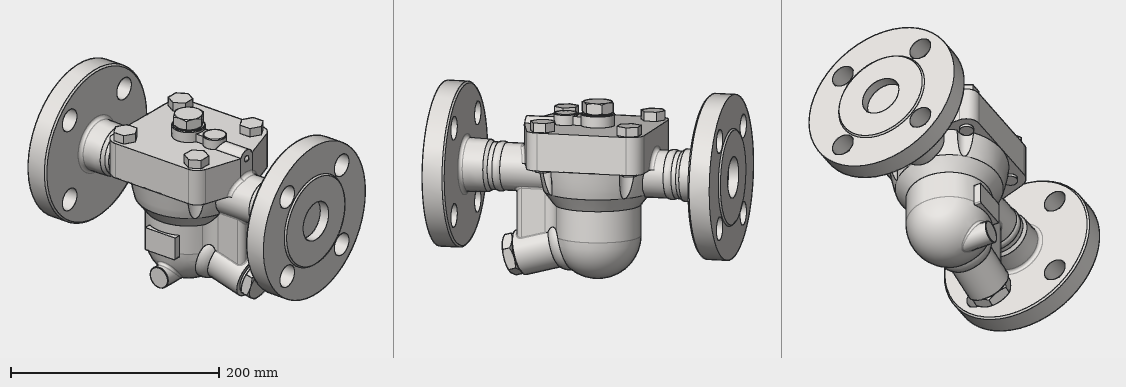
import cadquery as cq
import math

face_to_face = 290.0
flange_dia = 160.0
flange_thickness = 21.8
flange_chamfer = 1.7
raised_face_dia = 94.5
raised_face_height = 1.7
raised_face_chamfer = 1.5
bore_dia = 40.0
bore_depth = 10.2
bolt_hole_dia = 23.0
bolt_hole_offset = 42.5
pipe_dia = 46.0
hub_end_dia = 50.8
hub_root_dia = 52.0
hub_root_fillet = 3.5
hub_length = 23.8
hub_taper_length = 3.8
bead_start = 81.5
bead_width = 7.8
bead_height = 1.2
bead_outer_dia = pipe_dia + 2 * bead_height

body_x = -10.0
body_radius = 41.8
dome_center_z = -63.0
neck_bottom_z = -32.5
neck_top_z = -19.0
neck_radius = 52.0
neck_bulge = 0.5
body_top_radius = 57.5
cover_bottom_z = 7.5
cover_top_z = 44.7
cover_half_width = 57.56
cover_left_x = -68.2
cover_right_x = 60.5
cover_nose_half_width = 9.3
cover_shoulder_x = 44.7
cover_corner_radius = 14.0
pipe_cover_fillet = 3.8

bolt_offset = 43.2
bolt_head_flats = 21.0
bolt_head_height = 9.0
bolt_end_dia = 14.0
bolt_end_length = 3.0
bolt_relief_dia = 18.5
bolt_turns = {(-1, 1): 30, (1, 1): 0, (-1, -1): 0, (1, -1): 30}

plug_boss_dia = 32.5
plug_boss_top_z = 56.3
plug_flats = 27.0
plug_height = 11.0
plug_gap = 0.5
side_boss_x = 22.0
side_boss_dia = 23.0
side_boss_top_z = 55.5
boss_chamfer = 1.0
bridge_width = 14.0
bridge_top_z = 53.0
tube_dia = 18.5
tube_z = 41.2
tube_tip_dia = 6.5

rib_half_width = 16.0
rib_end_x = 67.5
rib_edge_fillet = 5.8
rib_root_radius = 16.0
rib_pipe_seam_top = 11.5
rib_pipe_fillet = 3.0
rib_outlet_fillet = 1.2
rib_bottom_z = -78.3

outlet_tilt = 15.0
outlet_dia = 44.0
outlet_length = 79.5
outlet_root_radius = 14.5
outlet_collar_dia = 35.0
outlet_gap = 2.3
outlet_hex_corners = 41.2
outlet_hex_height = 10.2
outlet_hex_turn = -5.0

pad_left_x = -28.0
pad_right_x = 8.5
pad_bottom_z = -66.7
pad_top_z = -43.0
pad_face_y = -44.7
pad_corner_radius = 1.5
drain_dia = 22.0
drain_z = -90.8
drain_end_y = -46.5
drain_root_fillet = 2.3
drain_chamfer = 0.5


hex_flat_ratio = math.cos(math.radians(30))
pick_margin = 0.3


def vertical_cylinder(x, y, dia, bottom, top):
    return cq.Workplane("XY", origin=(x, y, bottom)).circle(dia / 2).extrude(top - bottom)


def x_cylinder(dia, z, start, end):
    return cq.Workplane("YZ", origin=(start, 0, z)).circle(dia / 2).extrude(end - start)


def chamfered_hex(corner_dia, height, turn=0.0):
    """Hexagon on the XY plane whose corners are cut at both ends by a 30 degree cone."""
    corner = corner_dia / 2
    flat = corner * hex_flat_ratio
    drop = (corner - flat) * math.tan(math.radians(30))
    head = cq.Workplane("XY").polygon(6, corner_dia).extrude(height)
    envelope = (
        cq.Workplane("XZ")
        .moveTo(0, 0)
        .lineTo(flat, 0)
        .lineTo(corner, drop)
        .lineTo(corner, height - drop)
        .lineTo(flat, height)
        .lineTo(0, height)
        .close()
        .revolve(360, (0, 0, 0), (0, 1, 0))
    )
    return head.intersect(envelope).rotate((0, 0, 0), (0, 0, 1), turn)


def pipe_end():
    """Flange, tapered hub and weld bead at the -X end, as one turned profile."""
    face = -face_to_face / 2
    flange_face = face + raised_face_height
    flange_back = flange_face + flange_thickness
    hub_root = flange_back + hub_root_fillet
    hub_end = flange_back + hub_length
    raised_radius = raised_face_dia / 2
    flange_radius = flange_dia / 2
    sag = hub_root_fillet * (1 - math.sqrt(0.5))
    turned = (
        cq.Workplane("XY")
        .moveTo(face, 0)
        .lineTo(face, raised_radius - raised_face_chamfer)
        .lineTo(flange_face, raised_radius)
        .lineTo(flange_face, flange_radius)
        .lineTo(flange_back - flange_chamfer, flange_radius)
        .lineTo(flange_back, flange_radius - flange_chamfer)
        .lineTo(flange_back, hub_root_dia / 2 + hub_root_fillet)
        .threePointArc((flange_back + sag, hub_root_dia / 2 + sag), (hub_root, hub_root_dia / 2))
        .lineTo(hub_end, hub_end_dia / 2)
        .lineTo(hub_end + hub_taper_length, pipe_dia / 2)
        .lineTo(-bead_start - bead_width, pipe_dia / 2)
        .threePointArc((-bead_start - bead_width / 2, bead_outer_dia / 2), (-bead_start, pipe_dia / 2))
        .lineTo(body_x, pipe_dia / 2)
        .lineTo(body_x, 0)
        .close()
        .revolve(360, (0, 0, 0), (1, 0, 0))
    )
    bore = x_cylinder(bore_dia, 0, face, face + bore_depth)
    holes = (
        cq.Workplane("YZ", origin=(face, 0, 0))
        .rect(2 * bolt_hole_offset, 2 * bolt_hole_offset, forConstruction=True)
        .vertices()
        .circle(bolt_hole_dia / 2)
        .extrude(raised_face_height + flange_thickness)
    )
    return turned.cut(bore).cut(holes)


def cover():
    outline = [
        (cover_left_x, -cover_half_width),
        (cover_shoulder_x, -cover_half_width),
        (cover_right_x, -cover_nose_half_width),
        (cover_right_x, cover_nose_half_width),
        (cover_shoulder_x, cover_half_width),
        (cover_left_x, cover_half_width),
    ]
    slab = (
        cq.Workplane("XY", origin=(0, 0, cover_bottom_z))
        .polyline(outline)
        .close()
        .extrude(cover_top_z - cover_bottom_z)
    )
    return slab.edges("|Z and (not >X)").fillet(cover_corner_radius)


def body():
    """Bulging neck, cone, cylinder and dome turned about the body axis."""
    middle_z = (neck_top_z + cover_bottom_z) / 2
    middle_radius = (neck_radius + body_top_radius) / 2 + neck_bulge
    return (
        cq.Workplane("XZ", origin=(body_x, 0, 0))
        .moveTo(0, cover_bottom_z)
        .lineTo(body_top_radius, cover_bottom_z)
        .threePointArc((middle_radius, middle_z), (neck_radius, neck_top_z))
        .lineTo(body_radius, neck_bottom_z)
        .lineTo(body_radius, dome_center_z)
        .radiusArc((0, dome_center_z - body_radius), body_radius)
        .close()
        .revolve(360, (0, 0, 0), (0, 1, 0))
    )



def pipe_with_cover():
    """Both pipe ends joined to the cover, with a fillet where the pipe enters the cover sides."""
    pipe = pipe_end().union(pipe_end().mirror("YZ"))
    cover_seams = cq.selectors.BoxSelector(
        (cover_left_x - pick_margin, -pipe_dia, cover_bottom_z + pick_margin),
        (cover_right_x + pick_margin, pipe_dia, pipe_dia / 2 + pick_margin),
        boundingbox=False,
    )
    return pipe.union(cover()).edges(cover_seams).edges("not |Z").fillet(pipe_cover_fillet)


def rib():
    """Upright straight-sided rib with rounded outer edges, reaching up to the pipe axis."""
    length = rib_end_x - body_x
    block = cq.Workplane("XY").box(length, 2 * rib_half_width, -rib_bottom_z, centered=(False, True, False))
    return block.translate((body_x, 0, rib_bottom_z)).edges("|Z and >X").fillet(rib_edge_fillet)


def rib_roots():
    """Concave webs that run from the rib sides tangent into the body cylinder."""
    root_y = rib_half_width + rib_root_radius
    root_dx = math.sqrt((body_radius + rib_root_radius) ** 2 - root_y**2)
    root_x = body_x + root_dx
    touch = body_radius / (body_radius + rib_root_radius)
    touch_x = body_x + root_dx * touch
    touch_y = root_y * touch
    return (
        cq.Workplane("XY", origin=(0, 0, dome_center_z))
        .moveTo(body_x, -touch_y)
        .lineTo(touch_x, -touch_y)
        .radiusArc((root_x, -rib_half_width), rib_root_radius)
        .lineTo(root_x, rib_half_width)
        .radiusArc((touch_x, touch_y), rib_root_radius)
        .lineTo(body_x, touch_y)
        .close()
        .extrude(-dome_center_z)
    )


def tilt_outlet(solid):
    """Carry a shape built along +Z onto the outlet axis."""
    return solid.rotate((0, 0, 0), (0, 1, 0), 90 + outlet_tilt).translate((body_x, 0, dome_center_z))


def outlet():
    """Inclined outlet boss with a concave root turned tangent to the dome."""
    radius = outlet_dia / 2
    arc_center_r = radius + outlet_root_radius
    arc_center_h = math.sqrt((body_radius + outlet_root_radius) ** 2 - arc_center_r**2)
    touch = body_radius / (body_radius + outlet_root_radius)
    boss = (
        cq.Workplane("XZ")
        .moveTo(0, 0)
        .lineTo(arc_center_r * touch, arc_center_h * touch)
        .radiusArc((radius, arc_center_h), -outlet_root_radius)
        .lineTo(radius, outlet_length)
        .lineTo(0, outlet_length)
        .close()
        .revolve(360, (0, 0, 0), (0, 1, 0))
    )
    return tilt_outlet(boss)


def ribbed_pipe():
    """Pipe, cover, rib and outlet boss, with fillets where the rib meets the pipe and the boss."""
    pipe_seams = cq.selectors.BoxSelector(
        (body_x, -rib_half_width - pick_margin, -pipe_dia / 2 - pick_margin),
        (rib_end_x + pick_margin, rib_half_width + pick_margin, -rib_pipe_seam_top),
        boundingbox=False,
    )
    ribbed = pipe_with_cover().union(rib()).edges(pipe_seams).fillet(rib_pipe_fillet)
    outlet_seams = cq.selectors.BoxSelector(
        (body_x + body_radius, -rib_half_width - pick_margin, rib_bottom_z),
        (rib_end_x + pick_margin, rib_half_width + pick_margin, pad_top_z),
        boundingbox=False,
    )
    return ribbed.union(outlet()).edges(outlet_seams).edges("not |Z").fillet(rib_outlet_fillet)


def outlet_plug():
    hex_start = outlet_length + outlet_gap
    collar = vertical_cylinder(0, 0, outlet_collar_dia, outlet_length, hex_start)
    head = chamfered_hex(outlet_hex_corners, outlet_hex_height, outlet_hex_turn)
    return tilt_outlet(collar.union(head.translate((0, 0, hex_start))))


def cover_bolts():
    """Hex heads on the cover and the bolt ends under it."""
    heads_and_ends = cq.Workplane("XY")
    corner_dia = bolt_head_flats / hex_flat_ratio
    for (side_x, side_y), turn in bolt_turns.items():
        x = body_x + side_x * bolt_offset
        y = side_y * bolt_offset
        head = cq.Workplane("XY").polygon(6, corner_dia).extrude(bolt_head_height)
        head = head.rotate((0, 0, 0), (0, 0, 1), turn).translate((x, y, cover_top_z))
        end = vertical_cylinder(x, y, bolt_end_dia, cover_bottom_z - bolt_end_length, cover_bottom_z)
        heads_and_ends = heads_and_ends.add(head).add(end)
    return heads_and_ends.combine()


def bolt_reliefs():
    """Upright scallops that clear the body below each cover bolt."""
    reliefs = cq.Workplane("XY")
    for side_x, side_y in bolt_turns:
        x = body_x + side_x * bolt_offset
        y = side_y * bolt_offset
        reliefs = reliefs.add(vertical_cylinder(x, y, bolt_relief_dia, neck_top_z, cover_bottom_z))
    return reliefs.combine()


def cover_top_fittings():
    """Plug boss with its hex plug, side boss, the bridge between them and the passage tube."""
    plug_boss = vertical_cylinder(body_x, 0, plug_boss_dia, cover_top_z, plug_boss_top_z)
    plug_boss = plug_boss.faces(">Z").chamfer(boss_chamfer)
    collar = vertical_cylinder(body_x, 0, plug_flats, plug_boss_top_z, plug_boss_top_z + plug_gap)
    plug = chamfered_hex(plug_flats / hex_flat_ratio, plug_height)
    plug = plug.translate((body_x, 0, plug_boss_top_z + plug_gap))
    side_boss = vertical_cylinder(side_boss_x, 0, side_boss_dia, cover_top_z, side_boss_top_z)
    side_boss = side_boss.faces(">Z").chamfer(boss_chamfer)
    bridge = cq.Workplane("XY").box(
        side_boss_x - body_x, bridge_width, bridge_top_z - cover_top_z, centered=(False, True, False)
    )
    bridge = bridge.translate((body_x, 0, cover_top_z))
    tube = x_cylinder(tube_dia, tube_z, side_boss_x, cover_right_x)
    tip_place = cq.Vector(cover_right_x, 0, tube_z)
    tip_radius = tube_tip_dia / 2
    tip = cq.Workplane(cq.Solid.makeCone(tip_radius, 0, tip_radius, pnt=tip_place, dir=cq.Vector(1, 0, 0)))
    return plug_boss.union(collar).union(plug).union(side_boss).union(bridge).union(tube).union(tip)


def pad():
    width = pad_right_x - pad_left_x
    height = pad_top_z - pad_bottom_z
    center = ((pad_left_x + pad_right_x) / 2, pad_face_y, (pad_bottom_z + pad_top_z) / 2)
    block = cq.Workplane("XZ", origin=center).rect(width, height).extrude(pad_face_y)
    return block.edges("|Y and <Z").fillet(pad_corner_radius)


def body_with_drain():
    """Body with the drain boss blended into its dome."""
    boss = (
        cq.Workplane("XZ", origin=(body_x, drain_end_y, drain_z))
        .circle(drain_dia / 2)
        .extrude(drain_end_y)
        .faces("<Y")
        .chamfer(drain_chamfer)
    )
    seam_box = cq.selectors.BoxSelector(
        (body_x - drain_dia, drain_end_y + drain_chamfer + pick_margin, drain_z - drain_dia),
        (body_x + drain_dia, 0, drain_z + drain_dia),
        boundingbox=True,
    )
    return body().union(boss).edges(seam_box).fillet(drain_root_fillet)


result = (
    body_with_drain().cut(bolt_reliefs())
    .union(ribbed_pipe())
    .union(rib_roots())
    .union(outlet_plug())
    .union(pad())
    .union(cover_bolts())
    .union(cover_top_fittings())
)